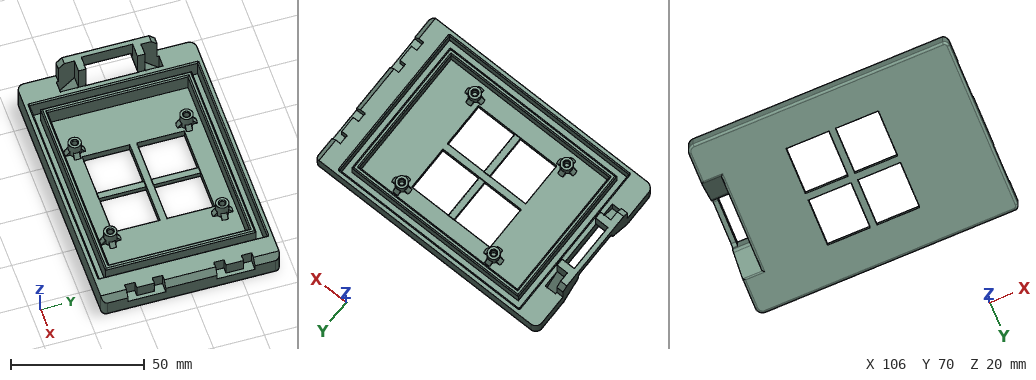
import cadquery as cq

length = 106
width = 70
body_height = 10.0
total_height = 20.0
handle_corner_radius = 3.0
clip_corner_radius = 2.0
bottom_edge_radius = 1.0
end_bevel_run = 1.9
end_bevel_drop = 2.9
center_x = length / 2

floor_thickness = 3.0
edge_bevel = 0.5
edge_bevel_angle = 45
groove_length = 85.6
groove_side_wall = 2.0
groove_span = width - 2 * groove_side_wall
rim_length = 79.5
rim_span = 59.1
rim_thickness = 2.0
well_length = rim_length - 2 * rim_thickness
well_span = rim_span - 2 * rim_thickness

window_length = 37.3
window_span = 40.1
bar_width = 2.8
low_bar_height = 2.0

boss_spacing = 43.9
boss_diameter = 5.0
boss_height = 5.4
boss_hole_diameter = 2.2
boss_hole_bevel = 0.37
boss_hole_bevel_angle = 90
boss_hole_depth = 4.0
gusset_width = 2.4
gusset_reach = 4.0
gusset_height = 2.0

handle_depth = 7.8
handle_half_width = 19.4
plate_thickness = 3.0
handle_skin = 2.0
handle_bevel = 2.3
opening_half_width = 10.1
opening_top = 14.5
opening_corner_radius = 1.5
opening_flare_radius = 3.0
rib_thickness = 3.0
rib_half_width = opening_half_width + rib_thickness
pocket_half_width = 20.1

clip_offset = 17.5
clip_slot_width = 14.8
clip_slot_depth = 4.1
clip_slot_height = 5.0
clip_tab_width = 6.9
clip_tab_length = 2.5


def block(x_range, y_range, z_range):
    """Box spanning the given (low, high) ranges."""
    sizes = [high - low for low, high in (x_range, y_range, z_range)]
    corner = (x_range[0], y_range[0], z_range[0])
    return cq.Workplane("XY").box(*sizes, centered=False).translate(corner)


def centered_block(x_size, y_size, z_low, z_high):
    """Box centred on the middle of the tray."""
    return (
        cq.Workplane("XY", origin=(center_x, 0, z_low))
        .rect(x_size, y_size)
        .extrude(z_high - z_low)
    )


def handle_profile(points, x_low, x_high):
    """Closed (Y, Z) outline extruded from x_low to x_high."""
    plane = cq.Workplane("YZ", origin=(x_low, 0, 0))
    return plane.polyline(points).close().extrude(x_high - x_low)


def make_body():
    body = block((0, length), (-width / 2, width / 2), (0, body_height))
    body = body.edges("|Z and <X").fillet(handle_corner_radius)
    body = body.edges("|Z and >X").fillet(clip_corner_radius)
    bevel = (
        cq.Workplane("XZ", origin=(0, width / 2, 0))
        .moveTo(length, body_height)
        .lineTo(length - end_bevel_run, body_height)
        .lineTo(length, body_height - end_bevel_drop)
        .close()
        .extrude(width)
    )
    return body.cut(bevel)


def add_handle(body):
    shoulder = total_height - handle_bevel
    top_half_width = handle_half_width - handle_bevel
    outline = handle_profile(
        [
            (-handle_half_width, 0),
            (-handle_half_width, shoulder),
            (-top_half_width, total_height),
            (top_half_width, total_height),
            (handle_half_width, shoulder),
            (handle_half_width, 0),
        ],
        0,
        handle_depth,
    )
    body = body.union(outline)

    body = body.cut(
        block(
            (handle_skin, handle_depth),
            (-opening_half_width, opening_half_width),
            (body_height, total_height),
        )
    )

    pocket_floor = body_height - (pocket_half_width - rib_half_width)
    for side in (-1, 1):
        pocket = [
            (side * rib_half_width, total_height),
            (side * rib_half_width, body_height),
            (side * pocket_half_width, pocket_floor),
            (side * pocket_half_width, total_height),
        ]
        body = body.cut(handle_profile(pocket, plate_thickness, handle_depth))

    flare_half_width = opening_half_width + body_height
    opening = handle_profile(
        [
            (-flare_half_width, 0),
            (-opening_half_width, body_height),
            (-opening_half_width, opening_top),
            (opening_half_width, opening_top),
            (opening_half_width, body_height),
            (flare_half_width, 0),
        ],
        0,
        handle_depth,
    )
    opening = opening.edges("|X and >Z").fillet(opening_corner_radius)
    for side in (-1, 1):
        bend_point = (handle_depth / 2, side * opening_half_width, body_height)
        bend = cq.selectors.NearestToPointSelector(bend_point)
        opening = opening.edges("|X").edges(bend).fillet(opening_flare_radius)
    return body.cut(opening)


def cut_well(body):
    groove = centered_block(groove_length, groove_span, floor_thickness, body_height)
    mouth = (
        cq.Workplane("XY", origin=(center_x, 0, body_height - edge_bevel))
        .rect(groove_length, groove_span)
        .extrude(edge_bevel, taper=-edge_bevel_angle)
    )
    rim = (
        centered_block(rim_length, rim_span, floor_thickness, body_height)
        .cut(centered_block(well_length, well_span, floor_thickness, body_height))
        .faces(">Z")
        .edges()
        .chamfer(edge_bevel)
    )
    return body.cut(groove).cut(mouth).union(rim)


def cut_window(body):
    window = centered_block(window_length, window_span, 0, floor_thickness)
    long_bar = centered_block(window_length, bar_width, 0, floor_thickness)
    low_bar = centered_block(bar_width, window_span, 0, low_bar_height)
    return body.cut(window.cut(long_bar).cut(low_bar))


def make_boss():
    boss = cq.Workplane("XY").circle(boss_diameter / 2).extrude(boss_height)
    cone = cq.Workplane("XY").add(
        cq.Solid.makeCone(gusset_reach, boss_diameter / 2, gusset_height)
    )
    cross = (
        cq.Workplane("XY")
        .rect(2 * gusset_reach, gusset_width)
        .extrude(gusset_height)
        .union(cq.Workplane("XY").rect(gusset_width, 2 * gusset_reach).extrude(gusset_height))
    )
    boss = boss.union(cone.intersect(cross))
    return boss.faces(">Z").workplane().cskHole(
        boss_hole_diameter,
        boss_hole_diameter + 2 * boss_hole_bevel,
        boss_hole_bevel_angle,
        boss_hole_depth,
    )


def add_bosses(body):
    for x_side in (-1, 1):
        for y_side in (-1, 1):
            spot = (center_x + x_side * boss_spacing / 2, y_side * boss_spacing / 2, floor_thickness)
            body = body.union(make_boss().translate(spot))
    return body


def cut_clip_slots(body):
    slot_x = length - clip_slot_depth
    heights = (body_height - clip_slot_height, body_height)
    for side in (-1, 1):
        middle = side * clip_offset
        slot = block(
            (slot_x, length),
            (middle - clip_slot_width / 2, middle + clip_slot_width / 2),
            heights,
        )
        tab = block(
            (slot_x, slot_x + clip_tab_length),
            (middle - clip_tab_width / 2, middle + clip_tab_width / 2),
            heights,
        )
        body = body.cut(slot.cut(tab)).union(tab)
    return body


tray = add_handle(make_body())
tray = tray.faces("<Z").edges().fillet(bottom_edge_radius)
tray = cut_well(tray)
tray = cut_window(tray)
tray = add_bosses(tray)
result = cut_clip_slots(tray)